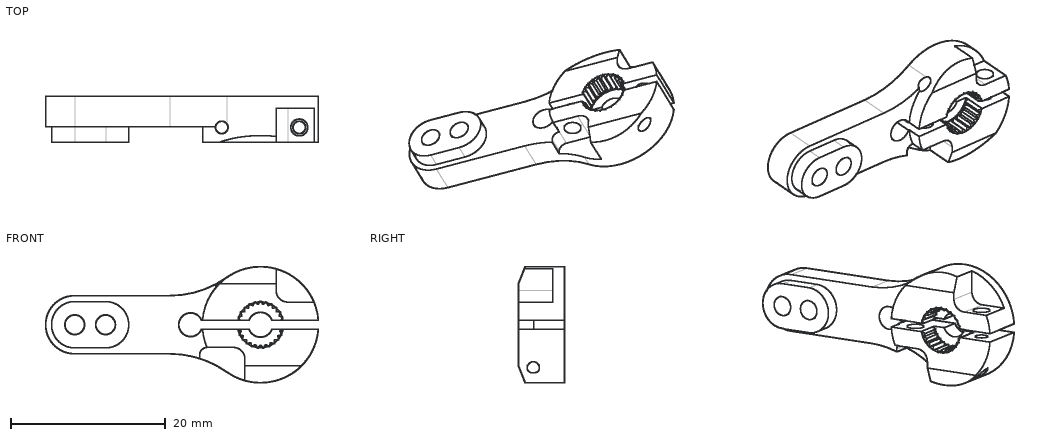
import cadquery as cq
import math


overall_length = 35.23
total_depth = 6.0
pad_height = 2.0

hub_radius = 7.5
arm_radius = 3.77
neck_radius = 12.7

slot_width = 1.13
slot_end_radius = 1.5
slot_end_x = -9.02
bore_radius = 1.6
spline_teeth = 25
spline_root_radius = 3.03
spline_tip_radius = 2.65
tooth_end_depth = 2.92
socket_depth = 3.3
spline_lead_in_radius = 2.95

pad_radius = 3.0
hole_pitch = 3.98
link_hole_diameter = 2.5

slope_start_z = 5.3
slope_drop = 0.88

screw_x = 5.0
screw_y = 1.95
screw_clear_diameter = 2.2
screw_thread_diameter = 1.6
pocket_inner_x = 2.0
pocket_width = 5.85
pocket_floor_z = 2.92
pocket_depth = 4.45
pocket_inner_corner_radius = 1.5
pocket_outer_corner_radius = 1.0

hub_tip_x = math.sqrt(hub_radius**2 - (slot_width / 2) ** 2)
arm_end_x = hub_tip_x - overall_length + arm_radius


def front_plane(y):
    """Workplane at depth y whose extrusions run toward the front (-Y)."""
    return cq.Workplane("XZ", origin=(0, y, 0))


def cylinder(x, radius, y_front, y_back):
    return front_plane(y_back).center(x, 0).circle(radius).extrude(y_back - y_front)


def make_arm():
    """Plate with a round end, flaring into the hub through tangent neck arcs."""
    neck_z = arm_radius + neck_radius
    centre_distance = hub_radius + neck_radius
    neck_x = -math.sqrt(centre_distance**2 - neck_z**2)
    join_x = neck_x * hub_radius / centre_distance
    join_z = neck_z * hub_radius / centre_distance
    mid_angle = (-math.pi / 2 + math.atan2(-neck_z, -neck_x)) / 2
    mid_x = neck_x + neck_radius * math.cos(mid_angle)
    mid_z = neck_z + neck_radius * math.sin(mid_angle)
    return (
        front_plane(total_depth)
        .moveTo(arm_end_x, arm_radius)
        .lineTo(neck_x, arm_radius)
        .threePointArc((mid_x, mid_z), (join_x, join_z))
        .lineTo(join_x, -join_z)
        .threePointArc((mid_x, -mid_z), (neck_x, -arm_radius))
        .lineTo(arm_end_x, -arm_radius)
        .threePointArc((arm_end_x - arm_radius, 0), (arm_end_x, arm_radius))
        .close()
        .extrude(total_depth - pad_height)
    )


def make_pad():
    return (
        front_plane(pad_height)
        .center(arm_end_x + hole_pitch / 2, 0)
        .slot2D(hole_pitch + 2 * pad_radius, 2 * pad_radius)
        .extrude(pad_height)
    )


def make_slope():
    """Wedge that slopes the front of the hub back toward its upper edge."""
    return (
        cq.Workplane("YZ", origin=(-hub_radius, 0, 0))
        .polyline([(0, slope_start_z), (slope_drop, hub_radius), (0, hub_radius)])
        .close()
        .extrude(2 * hub_radius)
    )


def make_spline():
    """Toothed socket, open at the front.

    A 45 degree lead-in trims the tooth ends at the front, and a plain round relief
    separates the teeth from the socket floor.
    """
    points = []
    for i in range(2 * spline_teeth):
        radius = spline_root_radius if i % 2 == 0 else spline_tip_radius
        angle = math.pi / 2 + i * math.pi / spline_teeth
        points.append((radius * math.cos(angle), radius * math.sin(angle)))
    teeth = front_plane(tooth_end_depth).polyline(points).close().extrude(tooth_end_depth)
    relief = cylinder(0, spline_root_radius, tooth_end_depth, socket_depth)
    lead_in_depth = spline_lead_in_radius - spline_tip_radius
    lead_in = front_plane(0).circle(spline_lead_in_radius).extrude(-lead_in_depth, taper=45)
    return teeth.union(relief).union(lead_in)


def make_screw_cut():
    """Head pocket and stepped hole of the screw that enters from above."""
    pocket = (
        cq.Workplane("XY")
        .box(pocket_width, pocket_depth, hub_radius, centered=False)
        .translate((pocket_inner_x, 0, pocket_floor_z))
        .edges("|Y and <X and <Z")
        .fillet(pocket_inner_corner_radius)
        .edges("|Y and >X and <Z")
        .fillet(pocket_outer_corner_radius)
    )
    screw_axis = cq.Workplane("XY").center(screw_x, screw_y)
    clearance = screw_axis.circle(screw_clear_diameter / 2).extrude(hub_radius)
    thread = screw_axis.circle(screw_thread_diameter / 2).extrude(-hub_radius)
    return pocket.union(clearance).union(thread)


def half_turn(shape):
    return shape.rotate((0, 0, 0), (0, 1, 0), 180)


hub = cylinder(0, hub_radius, 0, total_depth)
slope = make_slope()
hub = hub.cut(slope).cut(slope.mirror("XY"))
body = make_arm().union(hub).union(make_pad())

link_hole_count = 2
for i in range(link_hole_count):
    body = body.cut(cylinder(arm_end_x + i * hole_pitch, link_hole_diameter / 2, 0, total_depth))

slot = (
    front_plane(total_depth)
    .center(slot_end_x, -slot_width / 2)
    .rect(hub_radius - slot_end_x, slot_width, centered=False)
    .extrude(total_depth)
)
body = body.cut(slot).cut(cylinder(slot_end_x, slot_end_radius, 0, total_depth))
body = body.cut(make_spline()).cut(cylinder(0, bore_radius, 0, total_depth))

screw_cut = make_screw_cut()
result = body.cut(screw_cut).cut(half_turn(screw_cut))